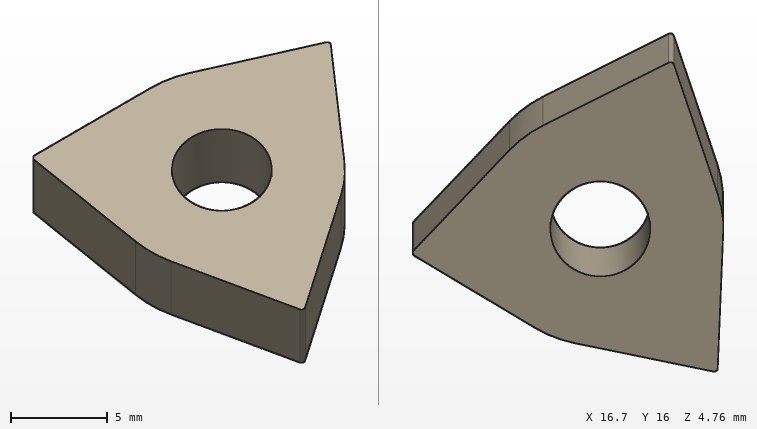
import cadquery as cq
import math

INSCRIBED_DIAMETER = 12.7
THICKNESS = 4.76
HOLE_DIAMETER = 5.16
NOSE_RADIUS = 0.2
NOSE_ANGLE = 80.0
CORNER_COUNT = 3
FIRST_CORNER_DIRECTION = 220.0

inscribed_radius = INSCRIBED_DIAMETER / 2
corner_pitch = 360.0 / CORNER_COUNT
normal_offset = 90.0 - NOSE_ANGLE / 2
nose_centre_distance = (inscribed_radius - NOSE_RADIUS) / math.sin(math.radians(NOSE_ANGLE / 2))


def polar(radius, degrees, centre=(0.0, 0.0)):
    """Point at a given radius and direction from a centre."""
    angle = math.radians(degrees)
    return (centre[0] + radius * math.cos(angle), centre[1] + radius * math.sin(angle))


def nose_point(corner_direction, normal_direction):
    """Point on a corner's nose arc where the outward normal has the given direction."""
    centre = polar(nose_centre_distance, corner_direction)
    return polar(NOSE_RADIUS, normal_direction, centre)


def insert_outline():
    """Closed outline: nose arc, straight edge, inscribed-circle arc, straight edge, per corner."""
    first_normal = FIRST_CORNER_DIRECTION - normal_offset
    outline = cq.Workplane("XY").moveTo(*polar(inscribed_radius, first_normal))
    for index in range(CORNER_COUNT):
        corner = FIRST_CORNER_DIRECTION + index * corner_pitch
        normal_in = corner - normal_offset
        normal_out = corner + normal_offset
        next_normal_in = normal_in + corner_pitch
        side_middle = (normal_out + next_normal_in) / 2
        outline = (
            outline.lineTo(*nose_point(corner, normal_in))
            .threePointArc(nose_point(corner, corner), nose_point(corner, normal_out))
            .lineTo(*polar(inscribed_radius, normal_out))
            .threePointArc(
                polar(inscribed_radius, side_middle),
                polar(inscribed_radius, next_normal_in),
            )
        )
    return outline.close()


def clamping_hole():
    """Cylinder through the full thickness, on the inscribed circle's axis."""
    return cq.Workplane("XY").circle(HOLE_DIAMETER / 2).extrude(THICKNESS)


result = insert_outline().extrude(THICKNESS).cut(clamping_hole())